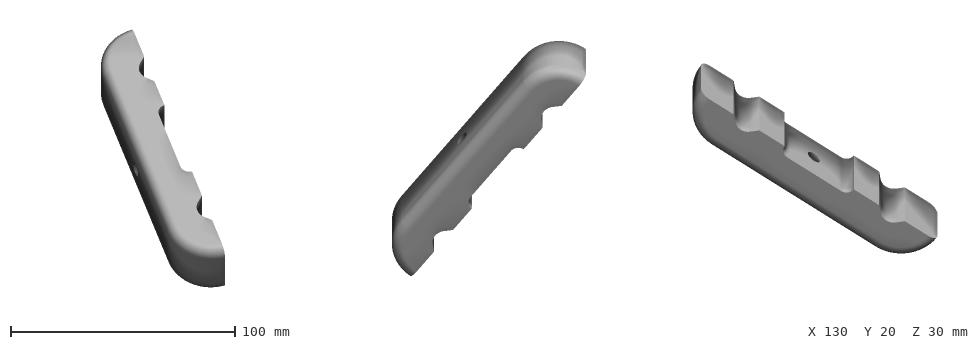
import cadquery as cq
import math

length = 130.0
depth = 20.0
height = 30.0
end_radius = depth
edge_fillet = 5.0

groove_spacing = 80.0
groove_square_side = 10.0
groove_radius = 6.0

recess_width = 38.0
recess_depth = 4.0
recess_corner_radius = 4.0

hole_diameter = 6.5


def rounded_bar():
    half_length = length / 2
    flat_end = half_length - end_radius
    arc_offset = end_radius * math.sqrt(0.5)
    bar = (
        cq.Workplane("XY")
        .workplane(offset=-height / 2)
        .moveTo(-half_length, 0)
        .threePointArc((-flat_end - arc_offset, -arc_offset), (-flat_end, -depth))
        .lineTo(flat_end, -depth)
        .threePointArc((flat_end + arc_offset, -arc_offset), (half_length, 0))
        .close()
        .extrude(height)
    )
    return bar.faces("|Z").edges("not >Y").fillet(edge_fillet)


def groove_cutter(center_x):
    return (
        cq.Workplane("XY")
        .rect(groove_square_side, groove_square_side)
        .extrude(height / 2, both=True)
        .rotate((0, 0, 0), (0, 0, 1), 45)
        .edges("|Z and <Y")
        .fillet(groove_radius)
        .translate((center_x, 0, 0))
    )


def recess_cutter():
    return (
        cq.Workplane("XY")
        .box(recess_width, 2 * recess_depth, height)
        .edges("|Z and <Y")
        .fillet(recess_corner_radius)
    )


def hole_cutter():
    return cq.Workplane("XZ").circle(hole_diameter / 2).extrude(depth)


result = rounded_bar()
for groove_x in (-groove_spacing / 2, groove_spacing / 2):
    result = result.cut(groove_cutter(groove_x))
result = result.cut(recess_cutter()).cut(hole_cutter())